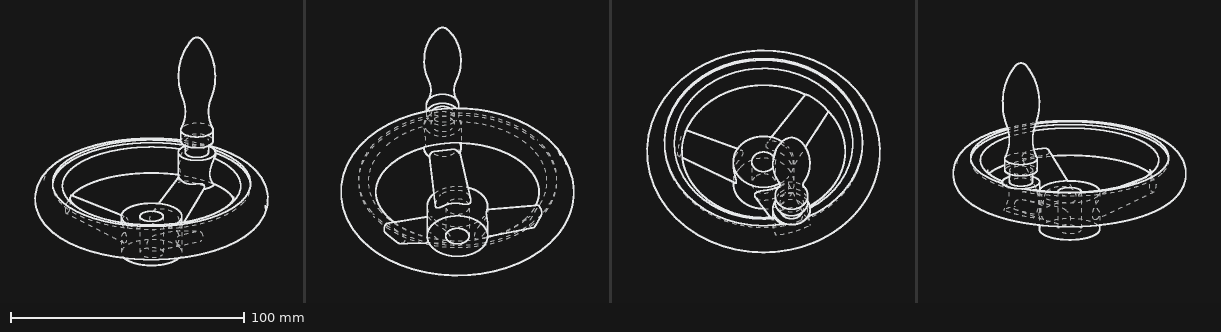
import cadquery as cq
import math

outer_diameter = 100
tube_radius = 7.5
rim_radius = outer_diameter / 2 - tube_radius
rim_height = 25.5
step_depth = 1.3

hub_radius = 13
hub_height = 17.2
bore_radius = 5

spoke_count = 3
spoke_flat_width = 8.4
spoke_inner_position = 8
spoke_inner_height = 8.9
spoke_inner_round = 3.7
spoke_outer_position = 40
spoke_outer_round = 2.0
spoke_slope = (rim_height - spoke_inner_height) / (rim_radius - spoke_inner_position)

handle_position = 36
boss_radius = 8
boss_bottom = 19
boss_top = rim_height + tube_radius

stem_radius = 5
collar_radius = 7
neck_radius = 5
shoulder_radius = 6.3
grip_radius = 8
tip_radius = 2.4
collar_bottom = 38.5
collar_top = 43.7
neck_height = 52.4
shoulder_height = 59.6
grip_height = 69.5
tip_height = 86.3
top_height = 87.5


def make_rim():
    tube = (
        cq.Workplane("XZ")
        .center(rim_radius, rim_height)
        .circle(tube_radius)
        .revolve(360, (-rim_radius, 0), (-rim_radius, 1))
    )
    step = (
        cq.Workplane("XY")
        .workplane(offset=rim_height + tube_radius - step_depth)
        .circle(rim_radius)
        .extrude(step_depth)
    )
    return tube.cut(step)


def spoke_section(position, round_radius):
    """Slot outline square to the spoke axis at a distance from the hub axis."""
    height = spoke_inner_height + spoke_slope * (position - spoke_inner_position)
    plane = cq.Plane(origin=(0, position, height), xDir=(1, 0, 0), normal=(0, 1, spoke_slope))
    half_flat = spoke_flat_width / 2
    outline = (
        cq.Workplane(plane)
        .moveTo(-half_flat, -round_radius)
        .lineTo(half_flat, -round_radius)
        .threePointArc((half_flat + round_radius, 0), (half_flat, round_radius))
        .lineTo(-half_flat, round_radius)
        .threePointArc((-half_flat - round_radius, 0), (-half_flat, -round_radius))
        .close()
    )
    return outline.val()


def make_spoke():
    inner = spoke_section(spoke_inner_position, spoke_inner_round)
    outer = spoke_section(spoke_outer_position, spoke_outer_round)
    return cq.Workplane(cq.Solid.makeLoft([inner, outer], True))


def make_boss():
    return (
        cq.Workplane("XY", origin=(0, handle_position, boss_bottom))
        .circle(boss_radius)
        .extrude(boss_top - boss_bottom)
    )


def neck_arc_middle(end_radius, end_height):
    """Middle of the arc that leaves the narrowest point vertically and ends at the given point."""
    rise = end_radius - neck_radius
    run = end_height - neck_height
    arc_radius = (rise**2 + run**2) / (2 * rise)
    half_angle = math.asin(run / arc_radius) / 2
    return (
        neck_radius + arc_radius * (1 - math.cos(half_angle)),
        neck_height + arc_radius * math.sin(half_angle),
    )


def make_handle():
    cap_height = top_height - tip_height
    cap_radius = (tip_radius**2 + cap_height**2) / (2 * cap_height)
    half_angle = math.asin(tip_radius / cap_radius) / 2
    cap_middle = (
        cap_radius * math.sin(half_angle),
        top_height - cap_radius * (1 - math.cos(half_angle)),
    )
    return (
        cq.Workplane("XZ", origin=(0, handle_position, 0))
        .moveTo(0, rim_height)
        .lineTo(stem_radius, rim_height)
        .lineTo(stem_radius, collar_bottom)
        .lineTo(collar_radius, collar_bottom)
        .lineTo(collar_radius, collar_top)
        .threePointArc(neck_arc_middle(collar_radius, collar_top), (neck_radius, neck_height))
        .threePointArc(
            neck_arc_middle(shoulder_radius, shoulder_height), (shoulder_radius, shoulder_height)
        )
        .threePointArc((grip_radius, grip_height), (tip_radius, tip_height))
        .threePointArc(cap_middle, (0, top_height))
        .close()
        .revolve(360, (0, 0), (0, 1))
    )


hub = cq.Workplane("XY").circle(hub_radius).extrude(hub_height)
bore = cq.Workplane("XY").circle(bore_radius).extrude(hub_height)

body = make_rim().union(hub)
spoke = make_spoke()
for index in range(spoke_count):
    body = body.union(spoke.rotate((0, 0, 0), (0, 0, 1), index * 360 / spoke_count))

result = body.union(make_boss()).union(make_handle()).cut(bore)